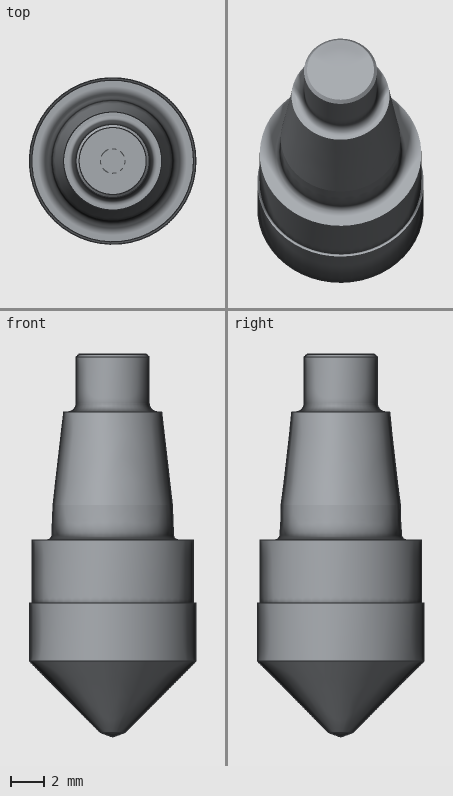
import cadquery as cq
import math

total_height = 23.0
neck_base_z = 19.53
taper_change_z = 13.92
collar_top_z = 11.85
seam_z = 8.05
cone_top_z = 4.55

neck_radius = 4.4 / 2
taper_top_radius = 2.95
taper_bottom_radius = 3.59
taper_foot_radius = 3.65
collar_radius = 9.7 / 2
head_radius = 10.0 / 2

neck_chamfer = 0.18
neck_fillet = 0.5
foot_fillet = 0.28

tip_radius = 0.74
tip_angle = 20.0
tip_height = tip_radius * math.tan(math.radians(tip_angle))


def make_shank():
    """Neck, double taper and collar turned as one body above the seam."""
    arc_offset = 1 - math.sqrt(0.5)
    foot_top_z = collar_top_z + foot_fillet
    profile = (
        cq.Workplane("XZ")
        .moveTo(0, seam_z)
        .lineTo(collar_radius, seam_z)
        .lineTo(collar_radius, collar_top_z)
        .lineTo(taper_foot_radius + foot_fillet, collar_top_z)
        .threePointArc(
            (taper_foot_radius + arc_offset * foot_fillet, collar_top_z + arc_offset * foot_fillet),
            (taper_foot_radius, foot_top_z),
        )
        .lineTo(taper_bottom_radius, taper_change_z)
        .lineTo(taper_top_radius, neck_base_z)
        .lineTo(neck_radius + neck_fillet, neck_base_z)
        .threePointArc(
            (neck_radius + arc_offset * neck_fillet, neck_base_z + arc_offset * neck_fillet),
            (neck_radius, neck_base_z + neck_fillet),
        )
        .lineTo(neck_radius, total_height - neck_chamfer)
        .lineTo(neck_radius - neck_chamfer, total_height)
        .lineTo(0, total_height)
        .close()
    )
    return profile.revolve(360, (0, 0), (0, 1))


def make_head():
    """Cylindrical head with the conical point, below the seam."""
    profile = (
        cq.Workplane("XZ")
        .moveTo(0, 0)
        .lineTo(tip_radius, tip_height)
        .lineTo(head_radius, cone_top_z)
        .lineTo(head_radius, seam_z)
        .lineTo(0, seam_z)
        .close()
    )
    return profile.revolve(360, (0, 0), (0, 1))


shank = make_shank()
head = make_head()

result = cq.Compound.makeCompound([shank.val(), head.val()])